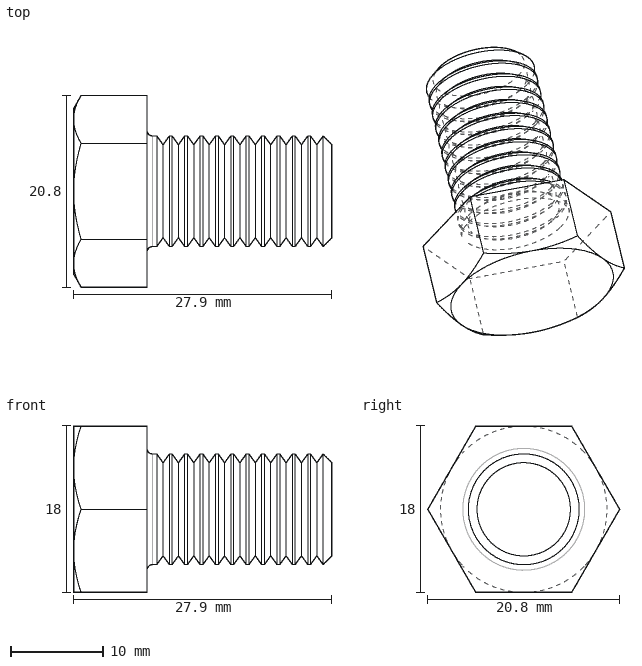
import cadquery as cq
import math

HEAD_SIDES = 6
ACROSS_FLATS = 18.0
HEAD_HEIGHT = 7.95
HEAD_CHAMFER_ANGLE = 30.0
HEAD_FACE_RADIUS = ACROSS_FLATS / 2

SHANK_LENGTH = 20.0
MAJOR_RADIUS = 6.0
MINOR_RADIUS = 5.053
UNDERHEAD_FILLET = 0.6

GROOVE_COUNT = 11
PITCH = 1.664
CREST_WIDTH = 0.30

CORNER_RADIUS = HEAD_FACE_RADIUS / math.cos(math.pi / HEAD_SIDES)
TOTAL_LENGTH = HEAD_HEIGHT + SHANK_LENGTH
THREAD_DEPTH = MAJOR_RADIUS - MINOR_RADIUS
GROOVE_HALF_WIDTH = (PITCH - CREST_WIDTH) / 2
TIP_CHAMFER_START = TOTAL_LENGTH - THREAD_DEPTH
LAST_GROOVE_X = TIP_CHAMFER_START - GROOVE_HALF_WIDTH
FIRST_GROOVE_X = LAST_GROOVE_X - (GROOVE_COUNT - 1) * PITCH


def revolve_about_x(profile):
    """Turn a closed (x, radius) profile once around the X axis."""
    return profile.close().revolve(360, (0, 0, 0), (1, 0, 0))


def make_head():
    """Hexagonal prism with flats facing +Z and -Z, its outer corners cut by a cone."""
    prism = cq.Workplane("YZ").polygon(HEAD_SIDES, 2 * CORNER_RADIUS).extrude(HEAD_HEIGHT)
    cone_depth = (CORNER_RADIUS - HEAD_FACE_RADIUS) * math.tan(math.radians(HEAD_CHAMFER_ANGLE))
    envelope = revolve_about_x(
        cq.Workplane("XY")
        .moveTo(0, 0)
        .lineTo(0, HEAD_FACE_RADIUS)
        .lineTo(cone_depth, CORNER_RADIUS)
        .lineTo(HEAD_HEIGHT, CORNER_RADIUS)
        .lineTo(HEAD_HEIGHT, 0)
    )
    return prism.intersect(envelope)


def make_shank():
    """Round shank with a concave fillet under the head, V grooves and a 45 degree tip chamfer."""
    fillet_end = (HEAD_HEIGHT + UNDERHEAD_FILLET, MAJOR_RADIUS)
    profile = (
        cq.Workplane("XY")
        .moveTo(HEAD_HEIGHT, 0)
        .lineTo(HEAD_HEIGHT, MAJOR_RADIUS + UNDERHEAD_FILLET)
        .radiusArc(fillet_end, -UNDERHEAD_FILLET)
    )
    for index in range(GROOVE_COUNT):
        root_x = FIRST_GROOVE_X + index * PITCH
        profile = (
            profile.lineTo(root_x - GROOVE_HALF_WIDTH, MAJOR_RADIUS)
            .lineTo(root_x, MINOR_RADIUS)
            .lineTo(root_x + GROOVE_HALF_WIDTH, MAJOR_RADIUS)
        )
    profile = profile.lineTo(TOTAL_LENGTH, MINOR_RADIUS).lineTo(TOTAL_LENGTH, 0)
    return revolve_about_x(profile)


result = make_head().union(make_shank())